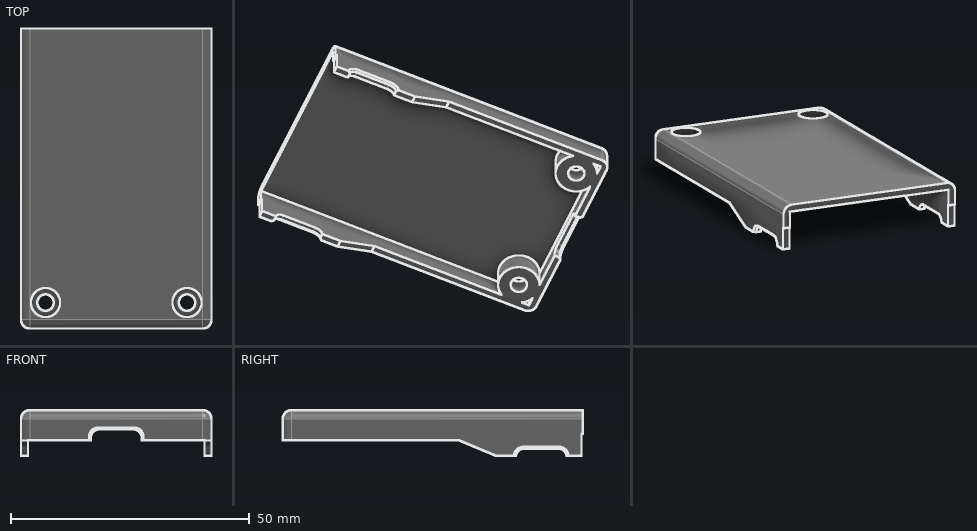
import cadquery as cq

width = 40.0
length = 62.95
height = 9.6
edge_radius = 1.9
wall = 1.5
rim_z = 3.3

front_y = -length / 2
back_y = length / 2

skirt_length = 18.2
slope_end = 26.0
back_step = 0.25
back_step_z = 4.65

screw_side_inset = 5.15
screw_front_inset = 5.5
screw_x = width / 2 - screw_side_inset
screw_y = front_y + screw_front_inset
screw_diameter = 3.4
counterbore_diameter = 6.1
counterbore_depth = 2.0
boss_diameter = 8.7

notch_width = 10.6
notch_radius = 1.65
notch_chamfer = 0.45
notch_floor_z = -3.15
front_notch_height = 2.25
side_notch_height = 1.5
side_notch_inset = 8.75
side_notch_y = back_y - side_notch_inset


def make_outer_body():
    """Rounded block trimmed to the stepped side profile."""
    block = (
        cq.Workplane("XY")
        .box(width, length, height, centered=(True, True, False))
        .edges("|Z and <Y").fillet(edge_radius)
        .faces(">Z").edges("not >Y").fillet(edge_radius)
    )
    profile = (
        cq.Workplane("YZ")
        .moveTo(front_y, rim_z)
        .lineTo(back_y - slope_end, rim_z)
        .lineTo(back_y - skirt_length, 0)
        .lineTo(back_y - back_step, 0)
        .lineTo(back_y - back_step, back_step_z)
        .lineTo(back_y, back_step_z)
        .lineTo(back_y, height)
        .lineTo(front_y, height)
        .close()
        .extrude(width / 2, both=True)
    )
    return block.intersect(profile)


def make_cavity():
    """Inside space, open below and at the +Y end."""
    return cq.Workplane("XY").box(
        width - 2 * wall, length, height - wall, centered=(True, True, False)
    ).translate((0, wall, 0))


def notch_outline(plane, base_z, rise, growth):
    """Rounded-top notch outline, enlarged all round by growth."""
    half_width = notch_width / 2 + growth
    radius = notch_radius + growth
    top = base_z + rise + growth
    return (
        plane
        .moveTo(-half_width, notch_floor_z)
        .lineTo(-half_width, top - radius)
        .radiusArc((-half_width + radius, top), radius)
        .lineTo(half_width - radius, top)
        .radiusArc((half_width, top - radius), radius)
        .lineTo(half_width, notch_floor_z)
        .close()
    )


def make_notch(origin, inward, base_z, rise):
    """Notch through one wall, chamfered on its outer edge."""
    across = cq.Vector(0, 0, 1).cross(cq.Vector(*inward))
    outer_plane = cq.Plane(origin, across.toTuple(), inward)
    inner_origin = cq.Vector(*origin) + cq.Vector(*inward) * notch_chamfer
    inner_plane = cq.Plane(inner_origin, across.toTuple(), inward)
    mouth = notch_outline(cq.Workplane(outer_plane), base_z, rise, notch_chamfer).wires().val()
    throat = notch_outline(cq.Workplane(inner_plane), base_z, rise, 0).wires().val()
    flare = cq.Workplane(cq.Solid.makeLoft([mouth, throat], True))
    passage = notch_outline(cq.Workplane(outer_plane), base_z, rise, 0).extrude(2 * wall)
    return flare.union(passage)


def at_screws(diameter, bottom, top):
    """Upright cylinders at both screw positions."""
    return (
        cq.Workplane("XY", origin=(0, screw_y, bottom))
        .pushPoints([(-screw_x, 0), (screw_x, 0)])
        .circle(diameter / 2)
        .extrude(top - bottom)
    )


outer_body = make_outer_body()
bosses = at_screws(boss_diameter, rim_z, height).intersect(outer_body)
cover = outer_body.cut(make_cavity()).union(bosses)

cover = cover.cut(at_screws(screw_diameter, 0, height))
cover = cover.cut(at_screws(counterbore_diameter, height - counterbore_depth, height))

cover = cover.cut(make_notch((0, front_y, 0), (0, 1, 0), rim_z, front_notch_height))
for side in (-1, 1):
    side_notch = make_notch((side * width / 2, side_notch_y, 0), (-side, 0, 0), 0, side_notch_height)
    cover = cover.cut(side_notch)

result = cover